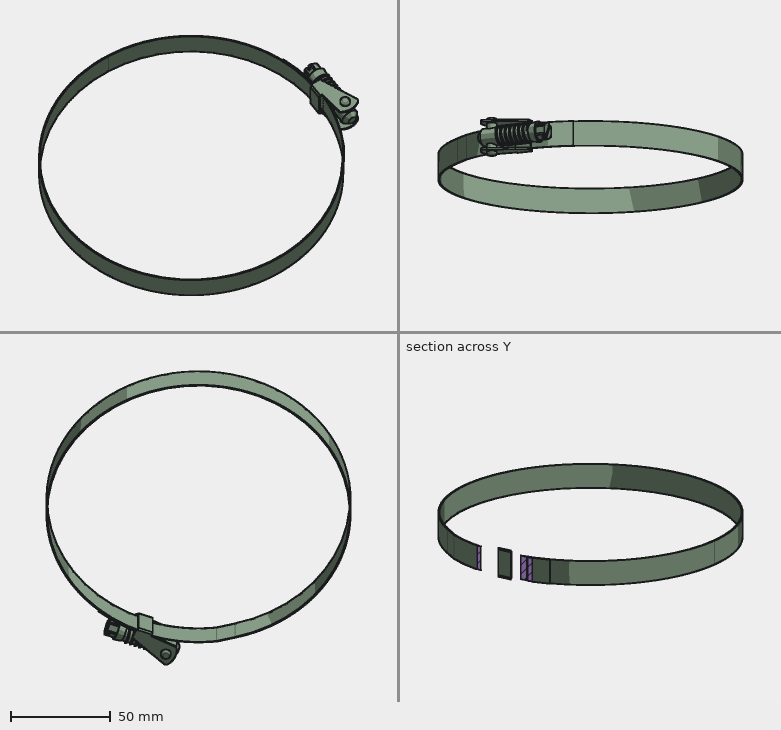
import cadquery as cq
import math


band_radius = 76.53
band_thickness = 0.6
band_width = 12.7
lap_clearance = 0.05
inner_end_angle = 90.0
lap_start_angle = 55.1
lap_full_angle = 62.3
tail_end_angle = 109.8
lap_radius = band_radius + lap_clearance + band_thickness

sheet = 1.0
cradle_chamfer = 0.9
bracket_width = 15.5
cradle_half_length = 3.81
cradle_bottom = 74.2
cradle_top = 76.2
plate_back = -4.75
plate_back_corner = 80.6
plate_corner_radius = -plate_back - cradle_half_length
plate_peak = (16.6, 89.78)
plate_nose = (19.4, 83.2)
plate_heel = (17.7, 77.8)
plate_peak_rounding = 1.5
web_thickness = 0.68

axis_y = 83.2
head_start = -17.25
head_length = 5.0
head_across_flats = 7.94
head_turned_diameter = 8.66
slot_width = 1.1
slot_depth = 2.0
slot_angle = 60.0
collar_length = 4.0
collar_large_radius = 5.25
collar_small_radius = 4.8
core_radius = 4.5
screw_length = 38.15
tip_chamfer = 2.3
thread_start = 9.25
thread_pitch = 2.5
thread_turns = 7.5
thread_crest_radius = 5.25
thread_root_width = 1.0
thread_crest_width = 0.4
thread_embed = 0.2

pin_x = 14.25
pin_diameter = 5.08
pin_span = 19.05
pin_rounding = 1.0


def on_circle(radius, angle):
    turn = math.radians(angle)
    return (radius * math.cos(turn), radius * math.sin(turn))


def add_arc(path, radius, start, end):
    return path.threePointArc(on_circle(radius, (start + end) / 2), on_circle(radius, end))


def make_band():
    """One strip: nearly a full turn, then a step outward so that its tail laps over its inner end."""
    side = 180.0
    step_start = lap_start_angle + 360
    step_end = lap_full_angle + 360
    tail_end = tail_end_angle + 360
    inside = band_radius - band_thickness
    lap_inside = lap_radius - band_thickness

    path = cq.Workplane("XY", origin=(0, 0, -band_width / 2)).moveTo(*on_circle(band_radius, inner_end_angle))
    path = add_arc(path, band_radius, inner_end_angle, side)
    path = add_arc(path, band_radius, side, step_start)
    path = path.lineTo(*on_circle(lap_radius, step_end))
    path = add_arc(path, lap_radius, step_end, tail_end)
    path = path.lineTo(*on_circle(lap_inside, tail_end))
    path = add_arc(path, lap_inside, tail_end, step_end)
    path = path.lineTo(*on_circle(inside, step_start))
    path = add_arc(path, inside, step_start, side)
    path = add_arc(path, inside, side, inner_end_angle)
    return path.close().extrude(band_width)


def make_cradle():
    """Channel under the band, with its two outer corners chamfered."""
    length = 2 * cradle_half_length
    height = cradle_top - cradle_bottom
    outside = (
        cq.Workplane("XY")
        .box(length, height, bracket_width, centered=(True, False, True))
        .edges("|X and <Y")
        .chamfer(cradle_chamfer)
    )
    inside = cq.Workplane("XY").box(length, height, bracket_width - 2 * sheet, centered=(True, False, True))
    return outside.cut(inside.translate((0, sheet, 0))).translate((0, cradle_bottom, 0))


def make_side_plates():
    """Two arms that rise from the cradle to the pivot."""
    floor_top = cradle_bottom + sheet
    middle = math.sqrt(0.5)
    plate = (
        cq.Workplane("XY", origin=(0, 0, -bracket_width / 2))
        .moveTo(-cradle_half_length, floor_top)
        .lineTo(cradle_half_length, floor_top)
        .lineTo(cradle_half_length, cradle_top)
        .lineTo(*plate_heel)
        .threePointArc(plate_nose, plate_peak)
        .lineTo(plate_back, plate_back_corner)
        .lineTo(plate_back, floor_top + plate_corner_radius)
        .threePointArc(
            (
                -cradle_half_length - plate_corner_radius * middle,
                floor_top + plate_corner_radius * (1 - middle),
            ),
            (-cradle_half_length, floor_top),
        )
        .close()
        .extrude(sheet)
        .edges("|Z and >Y")
        .fillet(plate_peak_rounding)
    )
    return plate.union(plate.mirror("XY"))


def make_web():
    """Curved sheet that joins the arms just outside the lapped band."""
    ring = (
        cq.Workplane("XY")
        .circle(lap_radius + web_thickness)
        .circle(lap_radius)
        .extrude(bracket_width / 2 - sheet, both=True)
    )
    keep = cq.Workplane("XY").box(
        cradle_half_length - plate_back, 2 * lap_radius, bracket_width, centered=(False, False, True)
    )
    return ring.intersect(keep.translate((plate_back, 0, 0)))


def make_bracket():
    pivot_holes = (
        cq.Workplane("XY").center(pin_x, axis_y).circle(pin_diameter / 2).extrude(bracket_width, both=True)
    )
    return make_cradle().union(make_side_plates()).union(make_web()).cut(pivot_holes)


def make_thread():
    """Right-hand worm thread around local Z, starting on local +X."""
    root = core_radius - thread_embed
    helix = cq.Wire.makeHelix(thread_pitch, thread_pitch * thread_turns, root)
    tooth = (
        cq.Workplane("XZ")
        .moveTo(root, -thread_root_width / 2)
        .lineTo(thread_crest_radius, -thread_crest_width / 2)
        .lineTo(thread_crest_radius, thread_crest_width / 2)
        .lineTo(root, thread_root_width / 2)
        .close()
    )
    return tooth.sweep(cq.Workplane(obj=helix), isFrenet=True).translate((0, 0, thread_start))


def make_screw():
    """Built along local Z from the head, then laid along X with local X toward +Y."""
    collar_end = head_length + collar_length
    head = (
        cq.Workplane("XY")
        .polygon(6, head_across_flats, circumscribed=True)
        .extrude(head_length)
        .intersect(cq.Workplane("XY").circle(head_turned_diameter / 2).extrude(head_length))
    )
    slot = (
        cq.Workplane("XY")
        .box(2 * head_across_flats, slot_width, 2 * slot_depth)
        .rotate((0, 0, 0), (0, 0, 1), -slot_angle)
    )
    shank = (
        cq.Workplane("YZ")
        .moveTo(0, head_length)
        .lineTo(collar_large_radius, head_length)
        .lineTo(collar_small_radius, collar_end)
        .lineTo(core_radius, collar_end)
        .lineTo(core_radius, screw_length - tip_chamfer)
        .lineTo(core_radius - tip_chamfer, screw_length)
        .lineTo(0, screw_length)
        .close()
        .revolve(360, (0, 0, 0), (0, 1, 0))
    )
    screw = shank.union(make_thread()).union(head).cut(slot)
    lying = cq.Plane(origin=(head_start, axis_y, 0), xDir=(0, 1, 0), normal=(1, 0, 0))
    return cq.Workplane(obj=screw.val().moved(cq.Location(lying)))


def make_pin(side):
    """Pivot pin on one side of the screw, saddled onto its core."""
    core = cq.Workplane("YZ").center(axis_y, 0).circle(core_radius).extrude(2 * pin_x)
    pin = (
        cq.Workplane("XY")
        .center(pin_x, axis_y)
        .circle(pin_diameter / 2)
        .extrude(pin_span / 2)
        .faces(">Z")
        .edges()
        .fillet(pin_rounding)
        .cut(core)
    )
    return pin if side > 0 else pin.mirror("XY")


band = make_band()
bracket = make_bracket()
screw = make_screw()
pins = [make_pin(side) for side in (-1, 1)]

result = cq.Compound.makeCompound([band.val(), bracket.val(), screw.val(), *[pin.val() for pin in pins]])